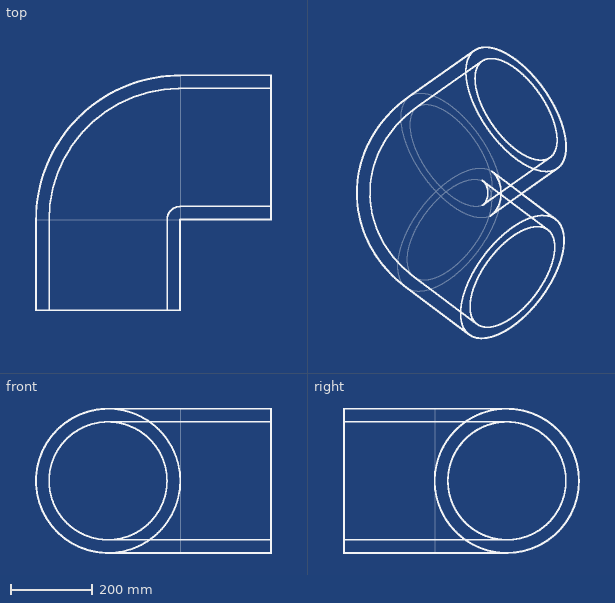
import cadquery as cq

overall_length = 578.5
outer_diameter = 355.0
wall = 32.5

outer_radius = outer_diameter / 2
inner_radius = outer_radius - wall
bend_radius = outer_radius
leg_length = overall_length - outer_diameter
bend_angle = 90


def elbow(radius):
    """Solid 90 degree elbow with its bend axis along Z through the origin."""
    front_center = cq.Workplane("XZ").center(-bend_radius, 0)
    front_leg = front_center.circle(radius).extrude(leg_length)
    side_leg = cq.Workplane("YZ").center(bend_radius, 0).circle(radius).extrude(leg_length)
    bend = front_center.circle(radius).revolve(bend_angle, (bend_radius, 0, 0), (bend_radius, -1, 0))
    return front_leg.union(bend).union(side_leg)


result = elbow(outer_radius).cut(elbow(inner_radius))